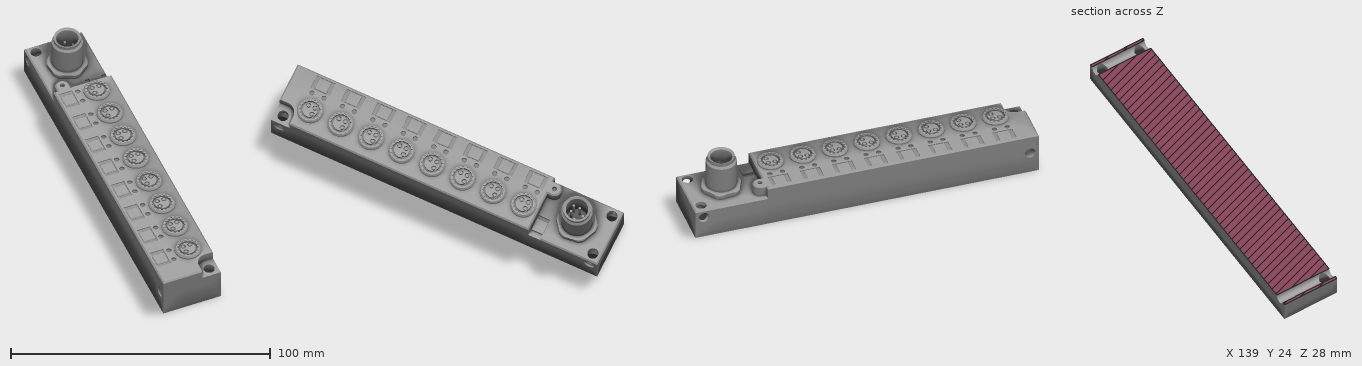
import cadquery as cq

length = 139.0
width = 24.0
cover_height = 17.1
ledge_height = 12.5
step_x = 29.3
edge_chamfer = 0.5

mount_diameter = 4.3
mount_inset = 3.5
side_hole_z = 9.0
notch_size = 7.8
notch_floor = 13.3
notch_corner_radius = notch_size - mount_inset

tab_x = 27.5
tab_y = 4.5
tab_radius = 2.8
screw_diameter = 2.0
screw_depth = 1.4

recess_x = 24.3
recess_y = 15.2
recess_depth = 0.7
plate_y = 16.8
plate_length = 4.7
plate_width = 5.0
plate_rise = 0.4

connector_x = 14.3
connector_y = width / 2
connector_top = 28.0
nut_flats = 15.0
nut_corner_diameter = 16.1
nut_angle = 36.5
nut_height = 2.1
nut_chamfer = 0.4
barrel_diameter = 12.1
shoulder_z = 25.6
neck_z = 26.4
neck_radius = 5.3
mouth_radius = 5.1
bore_radius = 4.3
mouth_depth = 0.5
bore_floor = 16.7
pin_diameter = 1.0
pin_length = 6.3
pin_offset = 2.5
pin_grid = [(0, 1), (-1, 0), (1, 0), (0, -1), (1, -1)]

socket_count = 8
first_socket_x = 35.5
socket_row_length = 90.9
socket_pitch = socket_row_length / (socket_count - 1)
socket_y = 15.5
socket_rise = 1.3
socket_seat = 0.7
flange_radius = 5.1
flange_height = 0.5
socket_top_radius = 4.6
socket_bore_radius = 3.8
core_radius = 2.9
core_rise = 1.0
contact_offset = 1.4
contact_grid = [(-1, 1), (-1, -1), (1, -1)]
contact_hole_diameter = 2.1
contact_pin_diameter = 1.1
contact_depth = 0.8
groove_count = 16
groove_width = 0.8
groove_radius = 4.3
groove_depth = 0.4

lamp_spacing = 5.1
lamp_y = 8.6
lamp_diameter = 2.1
lamp_depth = 0.7
label_y = 4.0
label_pocket_length = 8.0
label_pocket_width = 5.5
label_pocket_depth = 0.4
label_size = 5.1
label_chamfer = 0.3


def cylinder(x, y, z, diameter, height):
    """Upright cylinder standing on height z."""
    return cq.Workplane("XY", origin=(x, y, z)).circle(diameter / 2).extrude(height)


def block(x, y, z, size_x, size_y, size_z):
    """Box with its lowest corner at x, y, z."""
    return cq.Workplane("XY", origin=(x, y, z)).box(size_x, size_y, size_z, centered=False)


def turned(outline, x, y):
    """Solid turned about an upright axis from (radius, height) points."""
    return cq.Workplane("XZ").polyline(outline).close().revolve(360, (0, 0), (0, 1)).translate((x, y, 0))


def make_housing():
    base = block(0, 0, 0, length, width, ledge_height)
    base = base.faces(">Z").chamfer(edge_chamfer)
    tab_bottom = ledge_height - edge_chamfer
    tab_height = cover_height - tab_bottom
    upper = block(step_x, 0, 0, length - step_x, width, cover_height)
    tab = cylinder(tab_x, tab_y, tab_bottom, 2 * tab_radius, tab_height)
    web = block(tab_x, tab_y - tab_radius, tab_bottom, step_x - tab_x, 2 * tab_radius, tab_height)
    upper = upper.union(tab).union(web).clean()
    upper = upper.faces(">Z").chamfer(edge_chamfer)
    return base.union(upper)


def make_corner_notch():
    notch = block(length - notch_size, width - notch_size, notch_floor,
                  notch_size, notch_size, cover_height - notch_floor)
    return notch.edges("|Z and <X and <Y").fillet(notch_corner_radius)


def make_mount_holes():
    far_x = length - mount_inset
    upright_places = [
        (mount_inset, mount_inset),
        (mount_inset, width - mount_inset),
        (far_x, width - mount_inset),
    ]
    holes = cq.Workplane("XY").pushPoints(upright_places).circle(mount_diameter / 2).extrude(cover_height)
    side_places = [(mount_inset, side_hole_z), (far_x, side_hole_z)]
    side_holes = cq.Workplane("XZ").pushPoints(side_places).circle(mount_diameter / 2).extrude(-width)
    return holes.union(side_holes)


def make_connector():
    nut = (
        cq.Workplane("XY")
        .polygon(6, nut_flats, circumscribed=True)
        .extrude(nut_height)
        .rotate((0, 0, 0), (0, 0, 1), nut_angle)
        .intersect(cylinder(0, 0, 0, nut_corner_diameter, nut_height).faces(">Z").chamfer(nut_chamfer))
        .translate((connector_x, connector_y, ledge_height))
    )
    barrel = turned([
        (0, ledge_height),
        (barrel_diameter / 2, ledge_height),
        (barrel_diameter / 2, shoulder_z),
        (neck_radius, neck_z),
        (neck_radius, connector_top),
        (mouth_radius, connector_top),
        (bore_radius, connector_top - mouth_depth),
        (bore_radius, bore_floor),
        (0, bore_floor),
    ], connector_x, connector_y)
    connector = nut.union(barrel)
    for column, row in pin_grid:
        pin_x = connector_x + column * pin_offset
        pin_y = connector_y + row * pin_offset
        connector = connector.union(cylinder(pin_x, pin_y, bore_floor, pin_diameter, pin_length))
    return connector


def make_socket():
    """Ring grooved around its bore, with a contact core, centred on the Z axis."""
    top = cover_height + socket_rise
    ring = turned([
        (0, cover_height - socket_seat),
        (flange_radius, cover_height - socket_seat),
        (flange_radius, cover_height + flange_height),
        (socket_top_radius, top),
        (socket_bore_radius, top),
        (socket_bore_radius, cover_height),
        (core_radius, cover_height),
        (core_radius, cover_height + core_rise),
        (0, cover_height + core_rise),
    ], 0, 0)
    groove = block(socket_bore_radius - groove_width / 2, -groove_width / 2, top - groove_depth,
                   groove_radius - socket_bore_radius + groove_width / 2, groove_width, groove_depth)
    for index in range(groove_count):
        ring = ring.cut(groove.rotate((0, 0, 0), (0, 0, 1), index * 360 / groove_count))
    return ring


def make_contact_cavities():
    """Annular cavities around the contact pins, centred on the Z axis."""
    places = [(column * contact_offset, row * contact_offset) for column, row in contact_grid]
    return (
        cq.Workplane("XY", origin=(0, 0, cover_height + core_rise))
        .pushPoints(places)
        .circle(contact_hole_diameter / 2)
        .circle(contact_pin_diameter / 2)
        .extrude(-contact_depth)
    )


def make_station_recesses():
    """Lamp holes and the recess around the label tile for a station at X = 0."""
    label_floor = cover_height - label_pocket_depth
    pocket = block(-label_pocket_length / 2, label_y - label_pocket_width / 2, label_floor,
                   label_pocket_length, label_pocket_width, label_pocket_depth)
    tile = block(-label_size / 2, label_y - label_size / 2, label_floor,
                 label_size, label_size, label_pocket_depth)
    recesses = pocket.cut(tile.faces(">Z").chamfer(label_chamfer))
    for side in (-1, 1):
        lamp = cylinder(side * lamp_spacing / 2, lamp_y, cover_height - lamp_depth, lamp_diameter, lamp_depth)
        recesses = recesses.union(lamp)
    return recesses


def add_plate_recess(body):
    """Recess beside the step wall with a raised plate inside it."""
    floor = ledge_height - recess_depth
    recess = block(recess_x, recess_y, floor, step_x - recess_x, width - recess_y, recess_depth)
    plate = block(recess_x, plate_y, floor, plate_length, plate_width, recess_depth + plate_rise)
    return body.cut(recess).union(plate)


def add_sockets(body):
    """Row of sockets, each with its lamp holes and label tile."""
    socket = make_socket().cut(make_contact_cavities())
    recesses = make_station_recesses()
    for station in range(socket_count):
        station_x = first_socket_x + station * socket_pitch
        body = body.cut(recesses.translate((station_x, 0, 0)))
        body = body.union(socket.translate((station_x, socket_y, 0)))
    return body


result = make_housing().cut(make_corner_notch())
result = add_plate_recess(result)
result = result.cut(cylinder(tab_x, tab_y, cover_height - screw_depth, screw_diameter, screw_depth))
result = result.union(make_connector())
result = add_sockets(result)
result = result.cut(make_mount_holes())